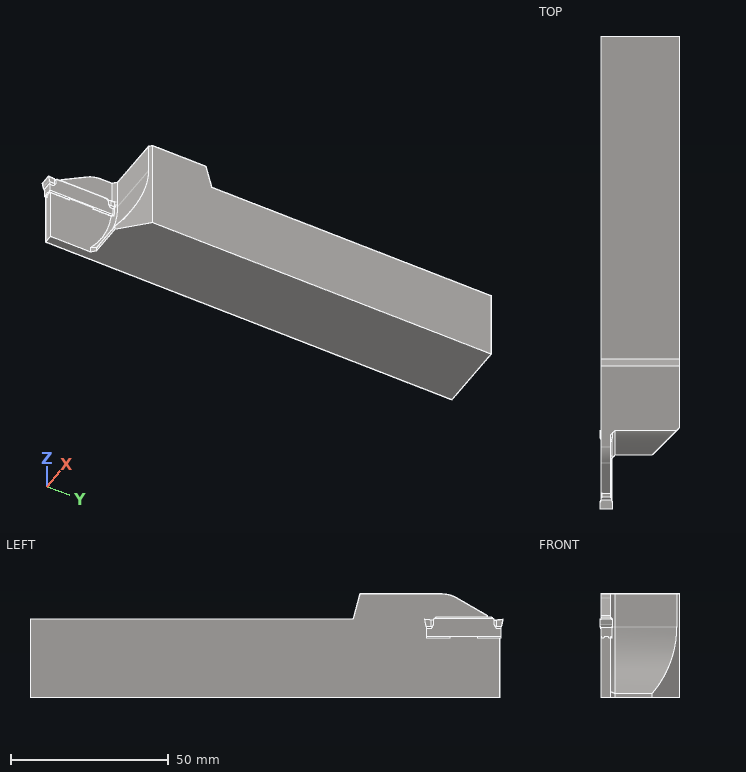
import cadquery as cq
import math

overall_length = 150.0
holder_width = overall_length / 6
shank_height = holder_width
tip_reach = 1.0
holder_length = overall_length - tip_reach
head_height = 33.0
step_y = 44.4
step_angle = 15.0
ramp_start_y = 18.6
ramp_angle = 30.0
ramp_radius = 10.0
jaw_nose_y = 3.9

blade_thickness = 3.2
corner_bevel = 1.4
head_front_y = 23.9
nose_y = 16.0
nose_height = 1.4
scoop_top_z = 22.5
corner_cut_y = 24.8

insert_half_length = 12.5
insert_middle_y = insert_half_length - tip_reach
tip_width = 4.0
tip_overhang = 0.29
body_width = tip_width - 2 * tip_overhang
body_half_length = 11.9
body_bottom_z = 18.9
body_top_z = 25.7
body_top_half_length = 8.7
body_chamfer = 0.5
relief_half_length = 4.4
groove_depth = 0.5
groove_base_width = 2.0
groove_roof_width = 1.0
tip_z = 24.9
tip_break_z = 23.3
tip_bottom_z = 21.9
tip_break_setback = 0.3
tip_bottom_setback = 0.8
tip_length = 2.9
tip_taper = 0.8
chip_face_drop = 0.3

edge_margin = 0.2


def side_prism(sketch, start_x, width):
    """Extrude a YZ outline towards +X."""
    return sketch.close().extrude(width).translate((start_x, 0, 0))


def holder_side_profile():
    step_run = (head_height - shank_height) * math.tan(math.radians(step_angle))
    slope = math.radians(ramp_angle)

    def bend_point(angle):
        return (ramp_start_y - ramp_radius * math.sin(angle),
                head_height - ramp_radius * (1 - math.cos(angle)))

    ramp_y, ramp_z = bend_point(slope)
    jaw_z = ramp_z - (ramp_y - jaw_nose_y) * math.tan(slope)
    return (
        cq.Workplane("YZ")
        .moveTo(0, 0)
        .lineTo(holder_length, 0)
        .lineTo(holder_length, shank_height)
        .lineTo(step_y + step_run, shank_height)
        .lineTo(step_y, head_height)
        .lineTo(ramp_start_y, head_height)
        .threePointArc(bend_point(slope / 2), (ramp_y, ramp_z))
        .lineTo(jaw_nose_y, jaw_z)
        .lineTo(jaw_nose_y, tip_z)
        .lineTo(0, tip_break_z)
    )


def front_clearance():
    """Space in front of the head and to the right of the blade, with its scooped rear wall."""
    drop = scoop_top_z - nose_height
    depth = head_front_y - nose_y
    scoop_radius = (drop**2 + depth**2) / (2 * depth)
    half_angle = math.asin(drop / scoop_radius) / 2
    scoop_middle = (head_front_y - scoop_radius * (1 - math.cos(half_angle)),
                    scoop_top_z - scoop_radius * math.sin(half_angle))
    sketch = (
        cq.Workplane("YZ")
        .moveTo(0, 0)
        .lineTo(nose_y, 0)
        .lineTo(nose_y, nose_height)
        .threePointArc(scoop_middle, (head_front_y, scoop_top_z))
        .lineTo(head_front_y, head_height)
        .lineTo(0, head_height)
    )
    space = side_prism(sketch, blade_thickness, holder_width - blade_thickness)
    wall_edges = cq.selectors.BoxSelector(
        (0, nose_y - edge_margin, 0),
        (holder_width, head_front_y + edge_margin, head_height - edge_margin),
    )
    return space.faces("<X").edges(wall_edges).chamfer(corner_bevel)


def corner_cut():
    """Triangular prism that bevels the right front corner of the head at 45 degrees."""
    depth = corner_cut_y - nose_y
    return (
        cq.Workplane("XY")
        .moveTo(holder_width, corner_cut_y)
        .lineTo(holder_width, nose_y)
        .lineTo(holder_width - depth, nose_y)
        .close()
        .extrude(head_height)
    )


def insert_body():
    tip_rear = insert_half_length - tip_length
    sketch = (
        cq.Workplane("YZ")
        .moveTo(-body_half_length, body_bottom_z)
        .lineTo(-relief_half_length, body_bottom_z)
        .lineTo(-relief_half_length, body_bottom_z + groove_depth)
        .lineTo(relief_half_length, body_bottom_z + groove_depth)
        .lineTo(relief_half_length, body_bottom_z)
        .lineTo(body_half_length, body_bottom_z)
        .lineTo(body_half_length, tip_break_z)
        .lineTo(tip_rear, tip_break_z)
        .lineTo(tip_rear, tip_z)
        .lineTo(body_top_half_length, body_top_z)
        .lineTo(-body_top_half_length, body_top_z)
        .lineTo(-tip_rear, tip_z)
        .lineTo(-tip_rear, tip_break_z)
        .lineTo(-body_half_length, tip_break_z)
    )
    return side_prism(sketch, 0, body_width)


def locating_groove():
    return (
        cq.Workplane("XZ")
        .moveTo(-groove_base_width / 2, body_bottom_z)
        .lineTo(groove_base_width / 2, body_bottom_z)
        .lineTo(groove_roof_width / 2, body_bottom_z + groove_depth)
        .lineTo(-groove_roof_width / 2, body_bottom_z + groove_depth)
        .close()
        .extrude(body_half_length, both=True)
        .translate((body_width / 2, 0, 0))
    )


def cutting_tip():
    """Front cutting tip, relieved below its edge."""
    front = -insert_half_length
    sketch = (
        cq.Workplane("YZ")
        .moveTo(front, tip_z)
        .lineTo(front + tip_break_setback, tip_break_z)
        .lineTo(front + tip_bottom_setback, tip_bottom_z)
        .lineTo(front + tip_length - tip_bottom_setback, tip_bottom_z)
        .lineTo(front + tip_length, tip_break_z)
        .lineTo(front + tip_length, tip_z - chip_face_drop)
    )
    tip = side_prism(sketch, -tip_overhang, tip_width)
    narrowing_below = tip_section("XZ", tip_z, tip_bottom_z)
    narrowing_behind = tip_section("XY", front, front + tip_length)
    return tip.intersect(narrowing_below).intersect(narrowing_behind)


def tip_section(plane, wide_end, narrow_end):
    """Prism as wide as a tip, narrowing to the body width as it nears narrow_end."""
    taper_start = narrow_end + math.copysign(tip_taper, wide_end - narrow_end)
    outer = tip_width / 2
    inner = body_width / 2
    return (
        cq.Workplane(plane)
        .moveTo(-outer, wide_end)
        .lineTo(-outer, taper_start)
        .lineTo(-inner, narrow_end)
        .lineTo(inner, narrow_end)
        .lineTo(outer, taper_start)
        .lineTo(outer, wide_end)
        .close()
        .extrude(holder_length, both=True)
        .translate((inner, 0, 0))
    )


def both_ends(front_feature):
    return front_feature.union(front_feature.mirror("XZ"))


def insert_blank():
    """Insert outline without its chamfers; also the shape of its pocket."""
    return insert_body().cut(locating_groove()).union(both_ends(cutting_tip()))


def build_insert():
    long_edges = cq.selectors.BoxSelector(
        (-holder_width, -holder_length, body_bottom_z - edge_margin),
        (holder_width, holder_length, body_bottom_z + edge_margin),
    )
    body = insert_body().faces("<X or >X").edges(long_edges).chamfer(body_chamfer)
    body = body.faces("<X or >X").edges(">Z").chamfer(body_chamfer)
    body = body.cut(locating_groove())
    insert = body.union(both_ends(cutting_tip()))
    return insert.translate((0, insert_middle_y, 0))


def build_holder():
    holder = side_prism(holder_side_profile(), 0, holder_width)
    holder = holder.cut(front_clearance()).cut(corner_cut())
    return holder.cut(insert_blank().translate((0, insert_middle_y, 0)))


holder = build_holder()
insert = build_insert()
result = cq.Compound.makeCompound([holder.val(), insert.val()])